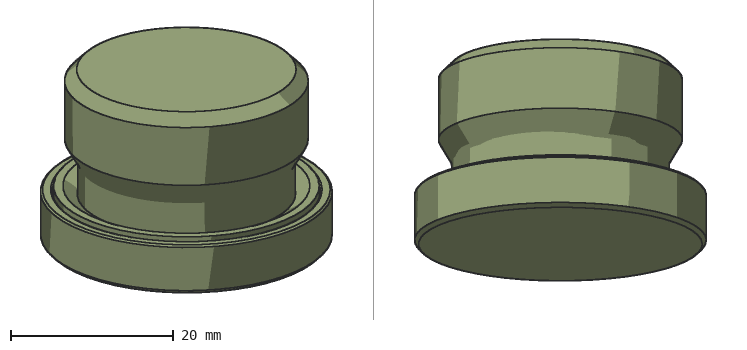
import cadquery as cq
import math

base_diameter = 35.9
base_height = 6.5
base_bottom_chamfer = 0.5
base_top_chamfer = 0.25
recess_diameter = 33.0
recess_rim_chamfer = 0.2
recess_floor = 3.0

neck_diameter = 26.8
neck_fillet = 1.0
head_diameter = 30.0
head_taper_angle = 30.0
head_taper_top = 13.3
head_chamfer = 1.5
total_height = 22.5

ring_diameter = 32.7
ring_bore = 26.9
ring_top = 7.0
dish_diameter = 30.4
dish_angle = 30.0

head_taper_height = (head_diameter - neck_diameter) / 2 / math.tan(math.radians(head_taper_angle))
neck_top = head_taper_top - head_taper_height

dish_depth = (dish_diameter - ring_bore) / 2 * math.tan(math.radians(dish_angle))


def make_base():
    """Disc with chamfered rims."""
    disc = cq.Workplane("XY").circle(base_diameter / 2).extrude(base_height)
    disc = disc.faces("<Z").chamfer(base_bottom_chamfer)
    return disc.faces(">Z").chamfer(base_top_chamfer)


def make_recess():
    """Round cutter for the recess, flared at the top to bevel its rim."""
    recess_depth = base_height - recess_floor
    cutter = (
        cq.Workplane("XY")
        .workplane(offset=recess_floor)
        .circle(recess_diameter / 2)
        .extrude(recess_depth)
    )
    bevel_bottom = base_height - recess_rim_chamfer
    bevel = (
        cq.Workplane("XY")
        .workplane(offset=bevel_bottom)
        .circle(recess_diameter / 2)
        .workplane(offset=recess_rim_chamfer)
        .circle(recess_diameter / 2 + recess_rim_chamfer)
        .loft()
    )
    return cutter.union(bevel)


def make_neck_and_head():
    """Turned neck that widens through a taper into the chamfered head."""
    post = (
        cq.Workplane("XZ")
        .moveTo(0, recess_floor)
        .lineTo(neck_diameter / 2, recess_floor)
        .lineTo(neck_diameter / 2, neck_top)
        .lineTo(head_diameter / 2, head_taper_top)
        .lineTo(head_diameter / 2, total_height)
        .lineTo(0, total_height)
        .close()
        .revolve(360, (0, 0, 0), (0, 1, 0))
    )
    post = post.faces(">Z").chamfer(head_chamfer)
    neck_corner = cq.selectors.NearestToPointSelector((0, 0, neck_top))
    return post.edges("%CIRCLE").edges(neck_corner).fillet(neck_fillet)


def make_plug():
    """Recessed base, neck and head in one piece."""
    return make_base().cut(make_recess()).union(make_neck_and_head())


def make_ring():
    """Ring standing on the recess floor, its top dished toward the neck."""
    return (
        cq.Workplane("XZ")
        .moveTo(ring_bore / 2, recess_floor)
        .lineTo(ring_diameter / 2, recess_floor)
        .lineTo(ring_diameter / 2, ring_top)
        .lineTo(dish_diameter / 2, ring_top)
        .lineTo(ring_bore / 2, ring_top - dish_depth)
        .close()
        .revolve(360, (0, 0, 0), (0, 1, 0))
    )


plug = make_plug()
ring = make_ring()

result = cq.Compound.makeCompound([plug.solids().val(), ring.val()])